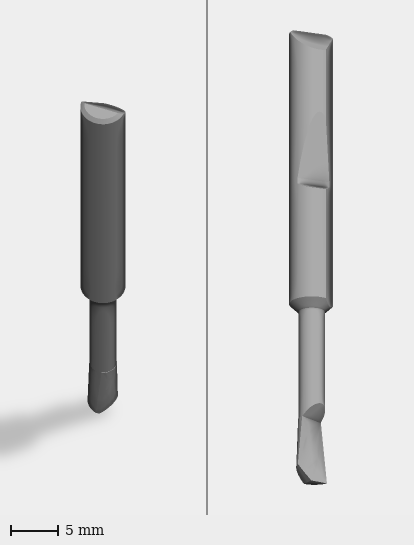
import cadquery as cq
import math

LENGTH = 50.8
SHANK_RADIUS = 2.4
SHANK_BOTTOM = 19.95
NECK_RADIUS = 1.4
CONE_HEIGHT = 0.9
TOP_CHAMFER = 0.4
SIDE_FLAT_DISTANCE = 1.95
SIDE_FLAT_ANGLE = 143.0
TOP_BEVEL_START_Y = -0.55
NOTCH_FLOOR_Y = 1.15
NOTCH_RAMP_TOP = 40.85
NOTCH_FLOOR_TOP = 33.55
NOTCH_FLOOR_BOTTOM = 32.9
NOTCH_BOTTOM = 32.2
NOTCH_ARC_MID = (1.6, 32.6)

TIP_HEIGHT = 6.95
TIP_TOP_RADIUS = 1.45
TIP_BOTTOM_RADIUS = 1.75
TOP_RAKE_START_ANGLE = 207.0
TOP_RAKE_END_ANGLE = 385.0
BOTTOM_RAKE_START_ANGLE = 180.0
BOTTOM_RAKE_END_ANGLE = 359.0
TOP_FLANK_ANGLE = 284.0
BOTTOM_FLANK_ANGLE = 263.0
FLANK_RELIEF = 0.15
END_RISE_X = 0.05
END_RISE_Y = 0.1
END_CHAMFER_START_X = 0.15
END_CHAMFER_START_Z = 0.2

CUT_SIZE = 4 * SHANK_RADIUS


def polar(radius, angle):
    return (radius * math.cos(math.radians(angle)), radius * math.sin(math.radians(angle)))


def prism_along_x(points):
    """Prism through the whole width with a (Y, Z) outline."""
    return cq.Workplane("YZ").polyline(points).close().extrude(CUT_SIZE / 2, both=True)


def make_shank():
    cone_bottom = SHANK_BOTTOM - CONE_HEIGHT
    blank = (
        cq.Workplane("XZ")
        .moveTo(0, cone_bottom)
        .lineTo(NECK_RADIUS, cone_bottom)
        .lineTo(SHANK_RADIUS, SHANK_BOTTOM)
        .lineTo(SHANK_RADIUS, LENGTH - TOP_CHAMFER)
        .lineTo(SHANK_RADIUS - TOP_CHAMFER, LENGTH)
        .lineTo(0, LENGTH)
        .close()
        .revolve(360, (0, 0, 0), (0, 1, 0))
    )
    side_flat = (
        cq.Workplane("XY")
        .box(CUT_SIZE, CUT_SIZE, LENGTH, centered=(False, True, False))
        .translate((SIDE_FLAT_DISTANCE, 0, 0))
        .rotate((0, 0, 0), (0, 0, 1), SIDE_FLAT_ANGLE)
    )
    bevel_end_y = TOP_BEVEL_START_Y + CUT_SIZE
    top_bevel = prism_along_x(
        [(TOP_BEVEL_START_Y, LENGTH), (bevel_end_y, LENGTH), (bevel_end_y, LENGTH - CUT_SIZE)]
    )
    notch = (
        cq.Workplane("YZ")
        .moveTo(SHANK_RADIUS, NOTCH_RAMP_TOP)
        .lineTo(NOTCH_FLOOR_Y, NOTCH_FLOOR_TOP)
        .lineTo(NOTCH_FLOOR_Y, NOTCH_FLOOR_BOTTOM)
        .threePointArc(NOTCH_ARC_MID, (SHANK_RADIUS, NOTCH_BOTTOM))
        .close()
        .extrude(CUT_SIZE / 2, both=True)
    )
    return blank.cut(side_flat).cut(top_bevel).cut(notch)


def make_neck():
    """Round neck whose lower end has a 45 degree runout above the rake face."""
    height = SHANK_BOTTOM - TIP_HEIGHT
    neck = cq.Workplane("XY").workplane(offset=TIP_HEIGHT).circle(NECK_RADIUS).extrude(height)
    start_x, start_y = polar(TIP_TOP_RADIUS, TOP_RAKE_START_ANGLE)
    end_x, end_y = polar(TIP_TOP_RADIUS, TOP_RAKE_END_ANGLE)
    rake_direction = math.degrees(math.atan2(end_y - start_y, end_x - start_x))
    runout = (
        prism_along_x([(0, 0), (CUT_SIZE, 0), (CUT_SIZE, CUT_SIZE)])
        .rotate((0, 0, 0), (0, 0, 1), rake_direction)
        .translate((start_x, start_y, TIP_HEIGHT))
    )
    return neck.cut(runout)


def tip_section(height, radius, start_angle, flank_angle, end_angle):
    """Half-round section: relieved flank, round back and straight rake line."""
    flank_mid = polar(radius - FLANK_RELIEF, (start_angle + flank_angle) / 2)
    back_mid = polar(radius, (flank_angle + end_angle) / 2)
    outline = (
        cq.Workplane("XY")
        .workplane(offset=height)
        .moveTo(*polar(radius, start_angle))
        .threePointArc(flank_mid, polar(radius, flank_angle))
        .threePointArc(back_mid, polar(radius, end_angle))
        .close()
    )
    return outline.val()


def make_tip():
    """Twisted cutting tip with a sloping end face and a 45 degree end chamfer."""
    bottom = tip_section(
        0, TIP_BOTTOM_RADIUS, BOTTOM_RAKE_START_ANGLE, BOTTOM_FLANK_ANGLE, BOTTOM_RAKE_END_ANGLE
    )
    top = tip_section(
        TIP_HEIGHT, TIP_TOP_RADIUS, TOP_RAKE_START_ANGLE, TOP_FLANK_ANGLE, TOP_RAKE_END_ANGLE
    )
    tip = cq.Workplane(obj=cq.Solid.makeLoft([bottom, top], True))
    end_plane = cq.Plane(
        origin=(-TIP_BOTTOM_RADIUS, 0, 0), xDir=(1, 0, END_RISE_X), normal=(-END_RISE_X, END_RISE_Y, 1)
    )
    end_cut = cq.Workplane(end_plane).rect(CUT_SIZE, CUT_SIZE).extrude(-CUT_SIZE)
    chamfer_cut = (
        cq.Workplane("XZ")
        .moveTo(END_CHAMFER_START_X - CUT_SIZE, END_CHAMFER_START_Z - CUT_SIZE)
        .lineTo(END_CHAMFER_START_X + CUT_SIZE, END_CHAMFER_START_Z + CUT_SIZE)
        .lineTo(END_CHAMFER_START_X + CUT_SIZE, END_CHAMFER_START_Z - CUT_SIZE)
        .close()
        .extrude(CUT_SIZE / 2, both=True)
    )
    return tip.cut(end_cut).cut(chamfer_cut)


result = make_shank().union(make_neck()).union(make_tip())